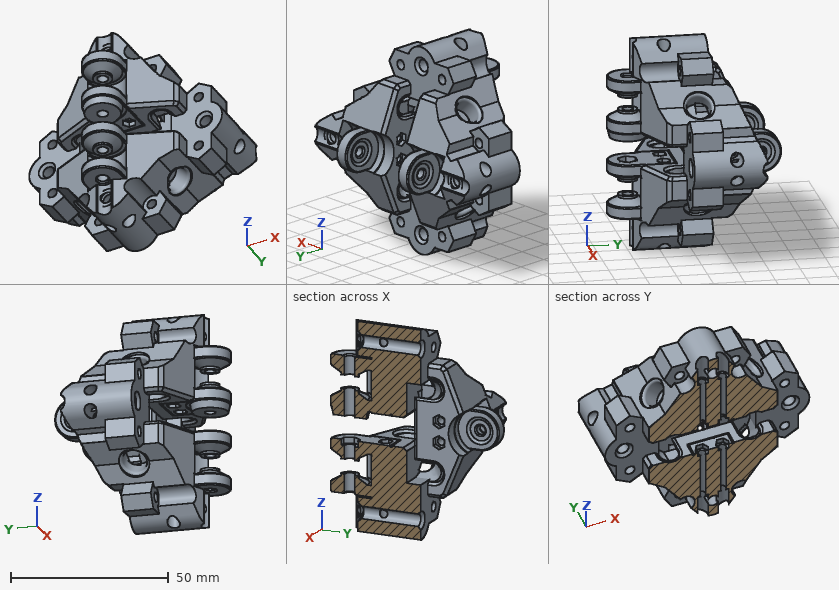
import cadquery as cq
import math

SPAN = 70.0
DEPTH = 53.3

ARM_RADIUS = 6.5
ARM_REACH = SPAN / 2 - ARM_RADIUS
ARM_BACK = 5.0
ARM_INNER = 16.6
FLANK_CORNER = 16.5
ARM_HOLE_D = 4.0
ARM_SINK_D = 6.0
GROOVE_SINK_D = 6.6

LUG_RADIUS = 6.65
HINGE_Y = DEPTH / 2 - LUG_RADIUS
HINGE_HOLE_D = 3.5
LUG_CHAMFER = 0.4
KNUCKLE_MID = 14.15
POCKET_RADIUS = 7.5
PLATE_POCKET_RADIUS = 7.7
POCKET_END = 23.4
GROOVE_D = 5.5
GROOVE_MOUTH = 4.9

ROOF_ANGLE = 22.5
SIDE_X = 22.1
SLOT_HALF = 4.935
EDGE_CHAMFER = 1.1
CORNER_DROP = 1.5
RIDGE_Y = -18.75

PLATE_OUTER = 23.0
UPPER_PLATE_Z = 5.25
ROOT_Y = -5.3
PLATE_THICKNESS = 4.0
CONE_BASE_RADIUS = 6.3
CONE_HEIGHT = 1.9
TIP_D = 6.15
TIP_HEIGHT = 0.8
KNOB_END_RADIUS = 5.8
KNOB_HEIGHT = 2.5
HINGE_NUT_D = 6.6
HINGE_NUT_DEPTH = 1.95
HINGE_SINK_D = 4.5

SINGLE_WIDTH = 4.55
SINGLE_HOLE_D = 3.0
SINGLE_SINK_D = 4.0
SOCKET_D = 9.1
SOCKET_FLOOR_D = 7.0
SOCKET_DEPTH = 0.55
SOCKET_STEP_D = 8.0
SOCKET_STEP = 0.2

EAR_OFFSET = 9.5
EAR_REACH = 26.5
EAR_FLATS = 9.25
EAR_HOLE_D = 3.2
HEAD_CLEARANCE_D = 6.3
NUT_CLEARANCE_D = 6.0

SCREW_X = 3.5
SCREW_Y = -8.95
SCREW_D = 2.5
SCREW_HEAD_D = 4.0
SCREW_SEAT = 25.2
SCREW_NUT_D = 4.5
SCREW_NUT_DEPTH = 1.75

MOUTH_RADIUS = 4.0
MOUTH_ROUND = 1.0
MOUTH_DEPTH = 6.3
PASSAGE_RADIUS = 3.3
PASSAGE_FLARE = 0.85
PASSAGE_X = 13.85
PASSAGE_Y = -6.8
PASSAGE_END_Z = 11.2
PASSAGE_END_X = 11.9
PASSAGE_END_Y = -1.4

HEX = 6
SIGNS = (-1, 1)


def along_y(x, z, y_start, length, radius):
    """Round bar parallel to Y."""
    return cq.Workplane(cq.Solid.makeCylinder(radius, length, cq.Vector(x, y_start, z), cq.Vector(0, 1, 0)))


def along_z(x, y, z_start, length, radius):
    """Round bar parallel to Z; a negative length points down."""
    direction = cq.Vector(0, 0, math.copysign(1, length))
    return cq.Workplane(cq.Solid.makeCylinder(radius, abs(length), cq.Vector(x, y, z_start), direction))


def cone_z(y, z_start, z_end, radius_start, radius_end):
    """Cone on the X = 0 plane, parallel to Z."""
    direction = cq.Vector(0, 0, math.copysign(1, z_end - z_start))
    return cq.Workplane(
        cq.Solid.makeCone(radius_start, radius_end, abs(z_end - z_start), cq.Vector(0, y, z_start), direction)
    )


def hex_z(x, y, z_start, length, diameter):
    """Hexagonal bar parallel to Z."""
    return cq.Workplane("XY", origin=(x, y, z_start)).polygon(HEX, diameter).extrude(length)


def to_other_half(shape):
    """Half turn about the diagonal that swaps X with Z and reverses Y."""
    return shape.rotate((0, 0, 0), (1, 0, 1), 180)


def arm_outline(y_start, y_end):
    """Rounded ends of all four arms and the flanks that meet at the corners between them."""
    drop = ARM_REACH - FLANK_CORNER
    to_corner = math.hypot(FLANK_CORNER, drop)
    tangent = math.acos(ARM_RADIUS / to_corner) - math.atan2(drop, FLANK_CORNER)
    tip_x = ARM_RADIUS * math.cos(tangent)
    tip_z = ARM_REACH + ARM_RADIUS * math.sin(tangent)
    corner = FLANK_CORNER
    outline = (
        cq.Workplane("XZ", origin=(0, y_end, 0))
        .moveTo(corner, corner)
        .lineTo(tip_x, tip_z)
        .threePointArc((0, SPAN / 2), (-tip_x, tip_z))
        .lineTo(-corner, corner)
        .lineTo(-tip_z, tip_x)
        .threePointArc((-SPAN / 2, 0), (-tip_z, -tip_x))
        .lineTo(-corner, -corner)
        .lineTo(-tip_x, -tip_z)
        .threePointArc((0, -SPAN / 2), (tip_x, -tip_z))
        .lineTo(corner, -corner)
        .lineTo(tip_z, -tip_x)
        .threePointArc((SPAN / 2, 0), (tip_z, tip_x))
        .close()
    )
    return outline.extrude(y_end - y_start)


def roof_block(side):
    """Roof-shaped block on one side of the slot, with chamfered edges at the slot."""
    slope = math.tan(math.radians(ROOF_ANGLE))
    bevel_x = SIDE_X - EDGE_CHAMFER
    ridge_x = (RIDGE_Y + HINGE_Y) / slope
    bevel_y = -HINGE_Y + slope * bevel_x
    roof = (
        cq.Workplane("XY", origin=(0, 0, side * SLOT_HALF))
        .moveTo(-SIDE_X, 0)
        .lineTo(-SIDE_X, bevel_y + CORNER_DROP)
        .lineTo(-bevel_x, bevel_y)
        .lineTo(-ridge_x, RIDGE_Y)
        .lineTo(ridge_x, RIDGE_Y)
        .lineTo(bevel_x, bevel_y)
        .lineTo(SIDE_X, bevel_y + CORNER_DROP)
        .lineTo(SIDE_X, 0)
        .close()
        .extrude(side * (SPAN / 2 - SLOT_HALF))
    )
    slot_face = "<Z" if side > 0 else ">Z"
    return roof.faces(slot_face).edges().chamfer(EDGE_CHAMFER).intersect(arm_outline(-HINGE_Y, 0))


def arm_back(side):
    """Part of an arm that reaches past the middle plane."""
    height = SPAN / 2 - ARM_INNER
    region = cq.Workplane("XY").box(SPAN, SPAN, height).translate((0, 0, side * (ARM_INNER + height / 2)))
    return arm_outline(0, ARM_BACK).intersect(region)


def hinge_pocket(side):
    """Round pocket about the hinge axis, wider beside the plates, and the groove to the arm end."""
    length = side * (POCKET_END - SLOT_HALF)
    pocket = along_z(0, -HINGE_Y, side * SLOT_HALF, length, POCKET_RADIUS)
    plate_zone = PLATE_THICKNESS + POCKET_END - PLATE_OUTER
    for start in (SLOT_HALF, POCKET_END - plate_zone):
        pocket = pocket.union(along_z(0, -HINGE_Y, side * start, side * plate_zone, PLATE_POCKET_RADIUS))
    groove = along_z(0, -HINGE_Y, 0, side * SPAN / 2, GROOVE_D / 2)
    return pocket.union(groove)


def ear(side_x, side_z):
    """Hexagonal ear beside a Z arm, continued between its flats to the middle of the arm."""
    across_corners = EAR_FLATS / math.cos(math.pi / HEX)
    hexagon = (
        cq.Workplane("XZ", origin=(side_x * EAR_OFFSET, ARM_BACK, side_z * EAR_REACH))
        .polygon(HEX, across_corners)
        .extrude(2 * ARM_BACK)
    )
    neck = cq.Workplane("XY").box(EAR_OFFSET, 2 * ARM_BACK, EAR_FLATS)
    return hexagon.union(neck.translate((side_x * EAR_OFFSET / 2, 0, side_z * EAR_REACH)))


def slot_passage(side_x, side_z):
    """Passage from a corner mouth that widens to a flared oval in the slot face."""
    center = (side_x * PASSAGE_X, PASSAGE_Y / 2, side_z * SLOT_HALF)
    width = 2 * PASSAGE_RADIUS
    flare_width = width + 2 * PASSAGE_FLARE
    passage = (
        cq.Workplane("XY", origin=center)
        .slot2D(width - PASSAGE_Y, width, 90)
        .workplane(offset=side_z * (PASSAGE_END_Z - SLOT_HALF))
        .center(side_x * (PASSAGE_END_X - PASSAGE_X), (PASSAGE_END_Y - PASSAGE_Y) / 2)
        .slot2D(width - PASSAGE_END_Y, width, 90)
        .loft(ruled=True)
    )
    flare = (
        cq.Workplane("XY", origin=center)
        .slot2D(flare_width - PASSAGE_Y, flare_width, 90)
        .extrude(side_z * PASSAGE_FLARE, taper=45)
    )
    return passage.union(flare)


def ear_clearance(side_x, side_z, nut_seat):
    """Room in front of an ear for a nut or a round screw head."""
    x = side_x * EAR_OFFSET
    z = side_z * EAR_REACH
    if nut_seat:
        return cq.Workplane("XZ", origin=(x, -ARM_BACK, z)).polygon(HEX, NUT_CLEARANCE_D).extrude(HINGE_Y)
    return along_y(x, z, -HINGE_Y, HINGE_Y - ARM_BACK, HEAD_CLEARANCE_D / 2)


def half_body(nut_seats):
    """Body of a half with its hinge towards -Y, without lugs."""
    body = None
    for side in SIGNS:
        block = roof_block(side).cut(hinge_pocket(side))
        for side_x in SIGNS:
            block = block.cut(slot_passage(side_x, side))
            block = block.cut(ear_clearance(side_x, side, nut_seats))
        block = block.union(arm_back(side))
        for side_x in SIGNS:
            block = block.union(ear(side_x, side)).cut(corner_mouth(side_x, side))
        body = block if body is None else body.union(block)
    return body


def lug_plate(z_start, thickness):
    """Plate with a round end on the hinge axis, rooted behind the hinge pocket."""
    root_y = -HINGE_Y + PLATE_POCKET_RADIUS
    plate = (
        cq.Workplane("XY", origin=(0, 0, z_start))
        .moveTo(-LUG_RADIUS, root_y)
        .lineTo(-LUG_RADIUS, -HINGE_Y)
        .threePointArc((0, -HINGE_Y - LUG_RADIUS), (LUG_RADIUS, -HINGE_Y))
        .lineTo(LUG_RADIUS, root_y)
        .close()
        .extrude(thickness)
    )
    return plate.faces("<Z or >Z").edges("not(>Y)").chamfer(LUG_CHAMFER)


def root_groove(side):
    """Shallow groove in a slot face around the root of the plate next to it."""
    width = 2 * (LUG_RADIUS + LUG_CHAMFER)
    length = 2 * (HINGE_Y + ROOT_Y)
    depth = side * LUG_CHAMFER
    outer = cq.Workplane("XY").rect(width, length).extrude(depth)
    inner = cq.Workplane("XY").rect(width - 2 * LUG_CHAMFER, length - 2 * LUG_CHAMFER).extrude(depth)
    return outer.cut(inner).translate((0, -HINGE_Y, side * SLOT_HALF))


def knuckle(z_outer, facing):
    """Plate whose conical spacer points along Z in the facing direction."""
    z_inner = z_outer + facing * PLATE_THICKNESS
    z_tip = z_inner + facing * CONE_HEIGHT
    plate = lug_plate(min(z_outer, z_inner), PLATE_THICKNESS)
    spacer = cone_z(-HINGE_Y, z_inner, z_tip, CONE_BASE_RADIUS, TIP_D / 2)
    tip = along_z(0, -HINGE_Y, z_tip, facing * TIP_HEIGHT, TIP_D / 2)
    return plate.union(spacer).union(tip)


def double_lugs():
    """Two pairs of facing knuckles; the upper pair carries a tapered knob over the slot."""
    lugs = cone_z(
        -HINGE_Y, UPPER_PLATE_Z, UPPER_PLATE_Z - KNOB_HEIGHT, LUG_RADIUS - LUG_CHAMFER / 2, KNOB_END_RADIUS
    )
    for z_outer, facing in ((PLATE_OUTER, -1), (UPPER_PLATE_Z, 1), (-SLOT_HALF, -1), (-PLATE_OUTER, 1)):
        lugs = lugs.union(knuckle(z_outer, facing))
    return lugs


def single_lug(z_mid):
    """Plain lug with a shallow conical socket on both faces."""
    lug = lug_plate(z_mid - SINGLE_WIDTH / 2, SINGLE_WIDTH)
    sink_depth = (SINGLE_SINK_D - SINGLE_HOLE_D) / 2
    for side in SIGNS:
        face = z_mid + side * SINGLE_WIDTH / 2
        step = face - side * SOCKET_STEP
        floor = face - side * SOCKET_DEPTH
        sink_end = floor - side * sink_depth
        lug = lug.cut(cone_z(-HINGE_Y, face, step, SOCKET_D / 2, SOCKET_STEP_D / 2))
        lug = lug.cut(cone_z(-HINGE_Y, step, floor, SOCKET_STEP_D / 2, SOCKET_FLOOR_D / 2))
        lug = lug.cut(cone_z(-HINGE_Y, floor, sink_end, SINGLE_SINK_D / 2, SINGLE_HOLE_D / 2))
    return lug.cut(along_z(0, -HINGE_Y, z_mid - SINGLE_WIDTH / 2, SINGLE_WIDTH, SINGLE_HOLE_D / 2))


def hinge_bore():
    """Pin hole of the double lugs, countersunk at both ends, with the nut seat beside the slot."""
    sink_depth = (HINGE_SINK_D - HINGE_HOLE_D) / 2
    bore = along_z(0, -HINGE_Y, -PLATE_OUTER, 2 * PLATE_OUTER, HINGE_HOLE_D / 2)
    for side in SIGNS:
        face = side * PLATE_OUTER
        sink_end = face - side * sink_depth
        bore = bore.union(cone_z(-HINGE_Y, face, sink_end, HINGE_SINK_D / 2, HINGE_HOLE_D / 2))
    return bore.union(hex_z(0, -HINGE_Y, -SLOT_HALF, -HINGE_NUT_DEPTH, HINGE_NUT_D))


def arm_hole(side):
    """Hole through an arm parallel to Y, countersunk inside the groove and at the back."""
    z = side * ARM_REACH
    hole = along_y(0, z, -HINGE_Y, HINGE_Y + ARM_BACK, ARM_HOLE_D / 2)
    groove_sink = arm_sink(z, -HINGE_Y + GROOVE_D / 2, 1, GROOVE_SINK_D)
    groove_zone = cq.Workplane("XY").box(GROOVE_MOUTH, DEPTH, 2 * SPAN)
    return hole.union(groove_sink.intersect(groove_zone)).union(arm_sink(z, ARM_BACK, -1, ARM_SINK_D))


def arm_sink(z, y, inward, diameter):
    """Countersink around an arm hole that narrows from y in the inward direction."""
    depth = (diameter - ARM_HOLE_D) / 2
    direction = cq.Vector(0, inward, 0)
    return cq.Workplane(cq.Solid.makeCone(diameter / 2, ARM_HOLE_D / 2, depth, cq.Vector(0, y, z), direction))


def long_screw(side_x):
    """Screw hole along Z with a head seat in each arm and a nut seat in each slot face."""
    x = side_x * SCREW_X
    seat_length = SPAN / 2 - SCREW_SEAT
    hole = along_z(x, SCREW_Y, -SPAN / 2, SPAN, SCREW_D / 2)
    for side in SIGNS:
        hole = hole.union(along_z(x, SCREW_Y, side * SCREW_SEAT, side * seat_length, SCREW_HEAD_D / 2))
        hole = hole.union(hex_z(x, SCREW_Y, side * SLOT_HALF, side * SCREW_NUT_DEPTH, SCREW_NUT_D))
    return hole


def half_holes():
    """All holes that belong to the half whose hinge points to -Y."""
    holes = long_screw(-1).union(long_screw(1))
    for side in SIGNS:
        holes = holes.union(arm_hole(side))
        for side_x in SIGNS:
            holes = holes.union(
                along_y(side_x * EAR_OFFSET, side * EAR_REACH, -ARM_BACK, 2 * ARM_BACK, EAR_HOLE_D / 2)
            )
    return holes


def corner_mouth(side_x, side_z):
    """Round hole with a rounded rim, aimed along the diagonal at a corner between two arms."""
    rim = MOUTH_RADIUS + MOUTH_ROUND
    bend = MOUTH_ROUND * (1 - math.sqrt(0.5))
    corner_plane = cq.Plane(
        origin=(side_x * FLANK_CORNER, 0, side_z * FLANK_CORNER), xDir=(0, 1, 0), normal=(side_z, 0, -side_x)
    )
    return (
        cq.Workplane(corner_plane)
        .moveTo(0, MOUTH_ROUND)
        .lineTo(rim, MOUTH_ROUND)
        .lineTo(rim, 0)
        .threePointArc((MOUTH_RADIUS + bend, -bend), (MOUTH_RADIUS, -MOUTH_ROUND))
        .lineTo(MOUTH_RADIUS, -MOUTH_DEPTH)
        .lineTo(0, -MOUTH_DEPTH)
        .close()
        .revolve(360, (0, 0, 0), (0, 1, 0))
    )


front = half_body(False).cut(root_groove(1)).cut(root_groove(-1))
back = to_other_half(half_body(True))
body = front.union(back).union(double_lugs())
for end in SIGNS:
    body = body.union(to_other_half(single_lug(end * KNUCKLE_MID)))

holes = half_holes()
body = body.cut(holes).cut(to_other_half(holes)).cut(hinge_bore())

result = body